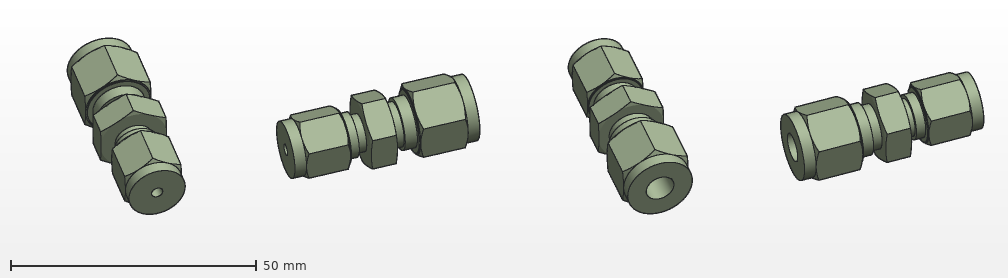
import cadquery as cq
import math

overall_length = 39.4

large_flats = 14.0
small_flats = 12.0

large_nut_start = 2.52
large_nut_end = 12.73
large_washer_end = 12.95
large_shoulder_end = 15.55
body_hex_start = 17.7
body_hex_end = 23.32
small_neck_end = 25.18
small_washer_start = 27.2
small_nut_start = 27.42
small_nut_end = 36.9

large_washer_diameter = 13.4
large_shoulder_diameter = 11.07
body_diameter = 9.57
small_neck_diameter = 8.0
small_washer_diameter = 11.6

nut_chamfer_angle = 30.0
body_chamfer_angle = 15.0

socket_diameter = 6.0
socket_depth = large_shoulder_end
passage_diameter = 2.4


def cylinder(start, end, diameter):
    """Round section along X between two stations."""
    return cq.Workplane("YZ", origin=(start, 0, 0)).circle(diameter / 2).extrude(end - start)


def chamfered_hexagon(start, end, flats, chamfer_angle):
    """Hexagon along X with corners at top and bottom, both ends turned to a cone."""
    face_radius = flats / 2
    corner_radius = face_radius / math.cos(math.radians(30))
    chamfer_length = (corner_radius - face_radius) * math.tan(math.radians(chamfer_angle))
    prism = (
        cq.Workplane("YZ", origin=(start, 0, 0))
        .polygon(6, 2 * corner_radius)
        .extrude(end - start)
        .rotate((0, 0, 0), (1, 0, 0), 90)
    )
    envelope = (
        cq.Workplane("XZ")
        .moveTo(start, 0)
        .lineTo(start, face_radius)
        .lineTo(start + chamfer_length, corner_radius)
        .lineTo(end - chamfer_length, corner_radius)
        .lineTo(end, face_radius)
        .lineTo(end, 0)
        .close()
        .revolve(360, (0, 0, 0), (1, 0, 0))
    )
    return prism.intersect(envelope)


round_sections = [
    (0, large_nut_start, large_flats),
    (large_nut_end, large_washer_end, large_washer_diameter),
    (large_washer_end, large_shoulder_end, large_shoulder_diameter),
    (large_shoulder_end, body_hex_start, body_diameter),
    (body_hex_end, small_neck_end, small_neck_diameter),
    (small_neck_end, small_washer_start, body_diameter),
    (small_washer_start, small_nut_start, small_washer_diameter),
    (small_nut_end, overall_length, small_flats),
]

hexagons = [
    (large_nut_start, large_nut_end, large_flats, nut_chamfer_angle),
    (body_hex_start, body_hex_end, large_flats, body_chamfer_angle),
    (small_nut_start, small_nut_end, small_flats, nut_chamfer_angle),
]

fitting = cylinder(*round_sections[0])
for section in round_sections[1:]:
    fitting = fitting.union(cylinder(*section))
for hexagon in hexagons:
    fitting = fitting.union(chamfered_hexagon(*hexagon))

socket = cylinder(0, socket_depth, socket_diameter)
passage = cylinder(0, overall_length, passage_diameter)
result = fitting.cut(socket).cut(passage)